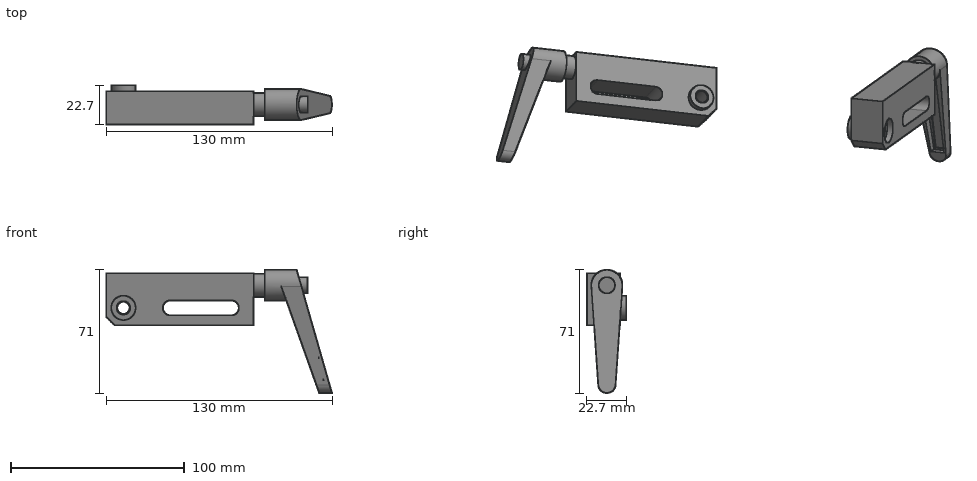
import cadquery as cq
import math

BLOCK_LENGTH = 84.9
BLOCK_DEPTH = 19.2
BLOCK_HEIGHT = 30.0
CORNER_CHAMFER = 5.0
BORE_INSET = 10.0
SLOT_START = 32.8
SLOT_END = 76.3
SLOT_WIDTH = 8.5

BUSHING_DIAMETER = 14.0
BUSHING_LENGTH = BLOCK_DEPTH
BUSHING_SHIFT = 3.5
BUSHING_HOLE = 7.0
HOLE_CHAMFER = 0.4

AXIS_Y = 11.6
AXIS_Z = 23.0
COLLAR_DIAMETER = 13.5
COLLAR_LENGTH = 6.4
HUB_RADIUS = 9.0
BUTTON_DIAMETER = 9.4
BUTTON_END = 116.0

ARM_DROP = 62.0
ARM_TIP_X = 130.0
ARM_OUTER_SLOPE = math.tan(math.radians(16))
ARM_INNER_SLOPE = math.tan(math.radians(19.6))
ARM_THICKNESS = 11.7
TIP_RADIUS = 5.1

POCKET_DROP = 55.9
POCKET_TOP_HALF_WIDTH = 5.7
POCKET_END_HALF_WIDTH = 4.0
POCKET_BACK_WALL = 2.9
RECESS_HALF_WIDTH = 3.1
RECESS_DEPTH = 1.0
RECESS_DROP = 54.7

HUB_START = BLOCK_LENGTH + COLLAR_LENGTH
ARM_OUTER_X = ARM_TIP_X - ARM_DROP * ARM_OUTER_SLOPE
ARM_INNER_X = ARM_OUTER_X - ARM_THICKNESS


def make_block():
    body = cq.Workplane("XY").box(BLOCK_LENGTH, BLOCK_DEPTH, BLOCK_HEIGHT, centered=False)
    body = body.edges("|Y").edges("<X and <Z").chamfer(CORNER_CHAMFER)
    bore = cylinder_along_y(BUSHING_DIAMETER, 0, BLOCK_DEPTH)
    slot = (
        cq.Workplane("XZ")
        .center((SLOT_START + SLOT_END) / 2, BORE_INSET)
        .slot2D(SLOT_END - SLOT_START, SLOT_WIDTH)
        .extrude(-BLOCK_DEPTH)
    )
    return body.cut(bore).cut(slot)


def cylinder_along_y(diameter, start, length):
    """Cylinder on the bore axis of the block."""
    profile = cq.Workplane("XZ", origin=(BORE_INSET, start, BORE_INSET)).circle(diameter / 2)
    return profile.extrude(-length)


def make_bushing():
    body = cylinder_along_y(BUSHING_DIAMETER, BUSHING_SHIFT, BUSHING_LENGTH)
    hole = cylinder_along_y(BUSHING_HOLE, BUSHING_SHIFT, BUSHING_LENGTH)
    hole_rims = body.cut(hole).edges("%CIRCLE").edges(cq.selectors.RadiusNthSelector(0))
    return hole_rims.chamfer(HOLE_CHAMFER)


def cylinder_along_x(diameter, start, end):
    """Cylinder on the lever axis."""
    return cq.Workplane("YZ", origin=(start, AXIS_Y, AXIS_Z)).circle(diameter / 2).extrude(end - start)


def side_prism(points):
    """Prism across the full hub width from (X, height over the axis) points."""
    profile = cq.Workplane("XZ", origin=(0, AXIS_Y, AXIS_Z)).polyline(points).close()
    return profile.extrude(HUB_RADIUS, both=True)


def outer_x(height):
    """X of the sloping outer face at a height over the lever axis."""
    return ARM_OUTER_X - height * ARM_OUTER_SLOPE


def extrude_along_x(sketch):
    return sketch.extrude(ARM_TIP_X - HUB_START)


def arm_plane():
    return cq.Workplane("YZ", origin=(HUB_START, AXIS_Y, AXIS_Z))


def make_arm():
    tip_center = TIP_RADIUS - ARM_DROP
    sine = (HUB_RADIUS - TIP_RADIUS) / -tip_center
    cosine = math.sqrt(1 - sine**2)
    hub_y = HUB_RADIUS * cosine
    hub_z = -HUB_RADIUS * sine
    tip_y = TIP_RADIUS * cosine
    tip_z = tip_center - TIP_RADIUS * sine
    outline = extrude_along_x(
        arm_plane()
        .moveTo(-hub_y, hub_z)
        .lineTo(-tip_y, tip_z)
        .threePointArc((0, -ARM_DROP), (tip_y, tip_z))
        .lineTo(hub_y, hub_z)
        .close()
    )
    profile = side_prism([
        (ARM_INNER_X, 0),
        (ARM_OUTER_X, 0),
        (ARM_TIP_X, -ARM_DROP),
        (ARM_INNER_X + ARM_DROP * ARM_INNER_SLOPE, -ARM_DROP),
    ])
    return outline.intersect(profile)


def pocket_depth_limit(back_wall):
    """Space on the inner side of a floor parallel to the outer face."""
    return side_prism([
        (HUB_START, 0),
        (outer_x(0) - back_wall, 0),
        (outer_x(-ARM_DROP) - back_wall, -ARM_DROP),
        (HUB_START, -ARM_DROP),
    ])


def make_arm_pocket():
    tapered = extrude_along_x(
        arm_plane().polyline([
            (-POCKET_TOP_HALF_WIDTH, 0),
            (POCKET_TOP_HALF_WIDTH, 0),
            (POCKET_END_HALF_WIDTH, -POCKET_DROP),
            (-POCKET_END_HALF_WIDTH, -POCKET_DROP),
        ]).close()
    )
    recess = extrude_along_x(
        arm_plane().center(0, -RECESS_DROP / 2).rect(2 * RECESS_HALF_WIDTH, RECESS_DROP)
    )
    tapered = tapered.intersect(pocket_depth_limit(POCKET_BACK_WALL))
    recess = recess.intersect(pocket_depth_limit(POCKET_BACK_WALL - RECESS_DEPTH))
    return tapered.union(recess)


def make_hub():
    hub = cylinder_along_x(2 * HUB_RADIUS, HUB_START, BUTTON_END)
    keep = side_prism([
        (HUB_START, HUB_RADIUS),
        (outer_x(HUB_RADIUS), HUB_RADIUS),
        (outer_x(-HUB_RADIUS), -HUB_RADIUS),
        (HUB_START, -HUB_RADIUS),
    ])
    return hub.intersect(keep)


def make_lever():
    collar = cylinder_along_x(COLLAR_DIAMETER, BLOCK_LENGTH, HUB_START)
    button = cylinder_along_x(BUTTON_DIAMETER, ARM_INNER_X, BUTTON_END)
    return make_arm().cut(make_arm_pocket()).union(make_hub()).union(collar).union(button)


block = make_block()
bushing = make_bushing()
lever = make_lever()

result = cq.Compound.makeCompound([block.val(), bushing.val(), lever.val()])